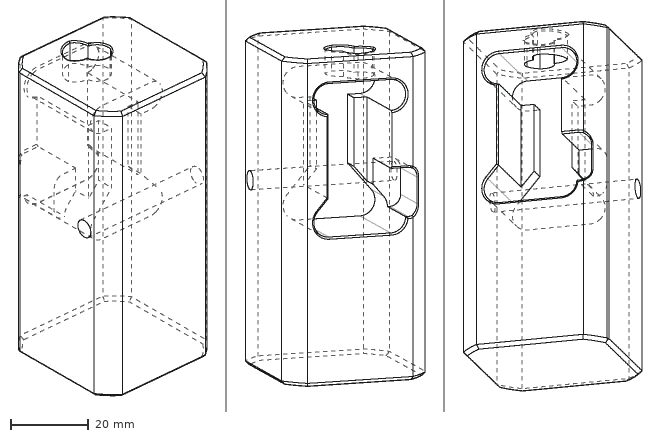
import cadquery as cq
import math

BODY_WIDTH = 39.5
BODY_HEIGHT = 86.5
CORNER_DIAMETER = 49.0
END_CHAMFER = 1.0
BEVEL_ANGLE = 45
HALF_WIDTH = BODY_WIDTH / 2

POCKET_DEPTH = 25.0
POCKET_HALF_WIDTH = 12.6
POCKET_TOP = 79.75
POCKET_BOTTOM = 39.2
POCKET_END_RADIUS = 4.1
POCKET_CHAMFER = 0.5
THROAT_HALF_WIDTH = 5.15
FLARE_ANGLE = math.radians(49)

RELIEF_DEPTH = 20.0
RELIEF_HALF_WIDTH = 8.65

NOTCH_DEPTH = 15.0
NOTCH_REACH = 16.2
NOTCH_HEIGHT = 13.0
NOTCH_CENTRE_Z = 49.75
NOTCH_RADIUS = 3.0
NOTCH_CHAMFER = 0.5

KEYHOLE_X = -9.3
KEYHOLE_Y = -0.6
KEYHOLE_ANGLE = 45
KEYHOLE_LIMIT_RADIUS = 6.35
LARGE_LOBE_RADIUS = 4.6
LARGE_LOBE_OFFSET = -3.25
SMALL_LOBE_RADIUS = 3.9
SMALL_LOBE_OFFSET = 2.65
KEYHOLE_CHAMFER = 0.4

PIN_DIAMETER = 5.0
PIN_X = 10.75
PIN_Z = 49.4

ROUND_Y = POCKET_HALF_WIDTH - POCKET_END_RADIUS
HEAD_Z = POCKET_TOP - POCKET_END_RADIUS
BELL_Z = POCKET_BOTTOM + POCKET_END_RADIUS
FLARE_TOP_Y = THROAT_HALF_WIDTH
FLARE_TOP_Z = (
    BELL_Z
    + POCKET_END_RADIUS / math.cos(FLARE_ANGLE)
    + (ROUND_Y - FLARE_TOP_Y) * math.tan(FLARE_ANGLE)
)


def on_pocket_face():
    """Workplane on the -X face: local x is Y, local y is Z, extrusion goes into the body."""
    return cq.Workplane(cq.Plane(origin=(-HALF_WIDTH, 0, 0), xDir=(0, 1, 0), normal=(1, 0, 0)))


def make_body():
    bar = cq.Workplane("XY").rect(BODY_WIDTH, BODY_WIDTH).extrude(BODY_HEIGHT)
    turned = cq.Workplane("XY").circle(CORNER_DIAMETER / 2).extrude(BODY_HEIGHT)
    return bar.intersect(turned).faces("<Z or >Z").chamfer(END_CHAMFER)


def head_outline(growth=0.0):
    """Slot across the top of the pocket, enlarged all round by growth."""
    diameter = 2 * (POCKET_END_RADIUS + growth)
    return on_pocket_face().center(0, HEAD_Z).slot2D(2 * ROUND_Y + diameter, diameter)


def bell_outline(growth=0.0):
    """Round-cornered bell below the throat, its bottom and flanks enlarged by growth."""
    radius = POCKET_END_RADIUS + growth
    flank_y = ROUND_Y + radius * math.sin(FLARE_ANGLE)
    flank_z = BELL_Z + radius * math.cos(FLARE_ANGLE)
    middle_y = ROUND_Y + radius * math.cos(FLARE_ANGLE / 2)
    middle_z = BELL_Z - radius * math.sin(FLARE_ANGLE / 2)
    top_y = FLARE_TOP_Y + growth / math.sin(FLARE_ANGLE)
    return (
        on_pocket_face()
        .moveTo(-top_y, FLARE_TOP_Z)
        .lineTo(top_y, FLARE_TOP_Z)
        .lineTo(flank_y, flank_z)
        .threePointArc((middle_y, middle_z), (ROUND_Y, BELL_Z - radius))
        .lineTo(-ROUND_Y, BELL_Z - radius)
        .threePointArc((-middle_y, middle_z), (-flank_y, flank_z))
        .close()
    )


def flank_height(half_width):
    """Height at which the bell flanks reach the given half width."""
    return FLARE_TOP_Z - (half_width - FLARE_TOP_Y) * math.tan(FLARE_ANGLE)


def make_throat(half_width, depth):
    """Straight channel from the head slot down to where it meets the bell flanks."""
    bottom_z = flank_height(half_width)
    return (
        on_pocket_face()
        .center(0, (HEAD_Z + bottom_z) / 2)
        .rect(2 * half_width, HEAD_Z - bottom_z)
        .extrude(depth)
    )


def make_throat_bevel():
    """Bevel along the +Y edge of the throat relief; the -Y edge stays sharp."""
    flank_z = flank_height(RELIEF_HALF_WIDTH)
    return (
        cq.Workplane("XY", origin=(-HALF_WIDTH, RELIEF_HALF_WIDTH, flank_z))
        .polyline([(0, 0), (0, POCKET_CHAMFER), (POCKET_CHAMFER, 0)])
        .close()
        .extrude(HEAD_Z - POCKET_END_RADIUS - flank_z)
    )


def make_pocket():
    pocket = head_outline().extrude(POCKET_DEPTH)
    pocket = pocket.union(bell_outline().extrude(POCKET_DEPTH))
    pocket = pocket.union(make_throat(THROAT_HALF_WIDTH, POCKET_DEPTH))
    pocket = pocket.union(make_throat(RELIEF_HALF_WIDTH, RELIEF_DEPTH))
    for outline in (head_outline, bell_outline):
        pocket = pocket.union(outline(POCKET_CHAMFER).extrude(POCKET_CHAMFER, taper=BEVEL_ANGLE))
    return pocket.union(make_throat_bevel())


def cut_notch(body):
    """Cut the side notch and bevel its rim, which wraps around the body corner."""
    notch = (
        on_pocket_face()
        .center(-NOTCH_REACH / 2, NOTCH_CENTRE_Z)
        .rect(NOTCH_REACH, NOTCH_HEIGHT)
        .extrude(NOTCH_DEPTH)
        .edges("|X")
        .fillet(NOTCH_RADIUS)
    )
    rim_zone = cq.selectors.BoxSelector(
        (-BODY_WIDTH, -BODY_WIDTH, NOTCH_CENTRE_Z - NOTCH_HEIGHT),
        (-HALF_WIDTH + NOTCH_DEPTH / 2, NOTCH_RADIUS, NOTCH_CENTRE_Z + NOTCH_HEIGHT),
    )
    return body.cut(notch).edges(rim_zone).chamfer(NOTCH_CHAMFER)


def make_keyhole(growth, depth, taper=0):
    """Two round lobes cut short by a limit circle, enlarged by growth, sunk from the top face."""

    def disc(offset, radius):
        return cq.Workplane("XY").center(offset, 0).circle(radius + growth).extrude(-depth, taper=taper)

    large = disc(LARGE_LOBE_OFFSET, LARGE_LOBE_RADIUS)
    small = disc(SMALL_LOBE_OFFSET, SMALL_LOBE_RADIUS)
    limit = disc(0, KEYHOLE_LIMIT_RADIUS)
    return (
        large.union(small)
        .intersect(limit)
        .rotate((0, 0, 0), (0, 0, 1), KEYHOLE_ANGLE)
        .translate((KEYHOLE_X, KEYHOLE_Y, BODY_HEIGHT))
    )


def make_pin_hole():
    return (
        cq.Workplane("XZ", origin=(PIN_X, 0, PIN_Z))
        .circle(PIN_DIAMETER / 2)
        .extrude(HALF_WIDTH, both=True)
    )


body = cut_notch(make_body())
body = body.cut(make_pocket())
body = body.cut(make_keyhole(0, BODY_HEIGHT - HEAD_Z))
body = body.cut(make_keyhole(KEYHOLE_CHAMFER, KEYHOLE_CHAMFER, BEVEL_ANGLE))
result = body.cut(make_pin_hole())